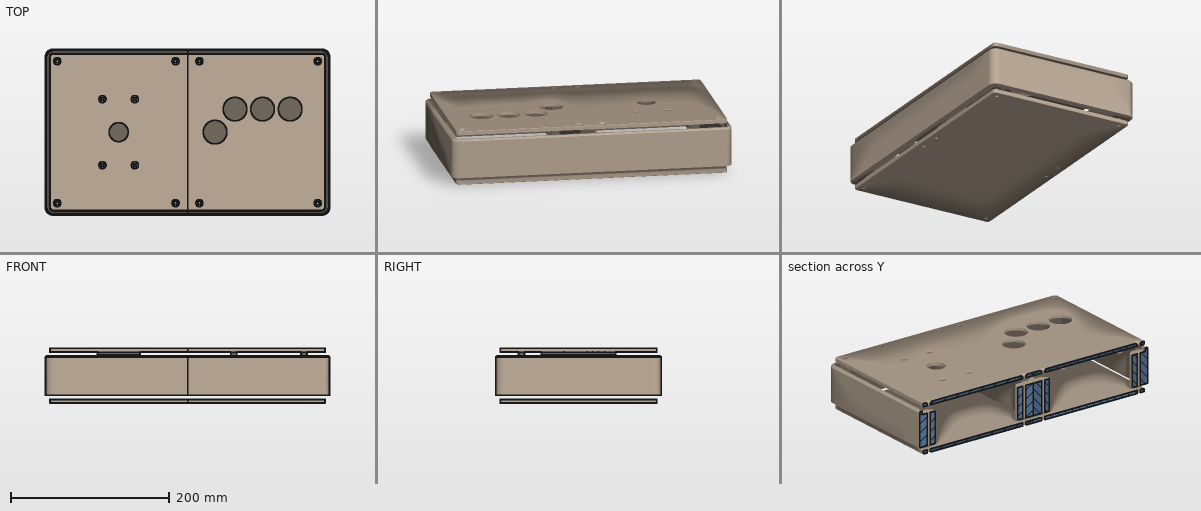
import cadquery as cq
LENGTH = 360.0
WIDTH = 210.0
HEIGHT = 70.0

LID_THICKNESS = 5.0
BORDER = 5.8
LID_CORNER_RADIUS = 4.5
LID_CHAMFER = 0.5
FRAME_HEIGHT = 50.0
WALL = 10.0
RIM_THICKNESS = 5.0
RIM_CHAMFER = 2.0
RECESS_DEPTH = LID_THICKNESS
MODULE_LENGTH = LENGTH / 2
LID_LENGTH = MODULE_LENGTH - BORDER
LID_WIDTH = WIDTH - 2 * BORDER
OUTER_RADIUS = LID_CORNER_RADIUS + BORDER

FRAME_BOTTOM = 10.0
FRAME_TOP = FRAME_BOTTOM + FRAME_HEIGHT
LID_BOTTOM = HEIGHT - LID_THICKNESS

SCREW_EDGE_DISTANCE = 15.0
SCREW_HOLE = 4.0
SCREW_HEAD = 9.0
HEAD_ANGLE = 90
BOSS_SIZE = 20.0
BOSS_CHAMFER = 5.0
BOSS_HOLE = 4.0

PAD_LENGTH = 54.0
PAD_WIDTH = 94.5
PAD_THICKNESS = 3.5
PAD_RADIUS = 3.0
PAD_SCREW_SPACING_X = 41.0
PAD_SCREW_SPACING_Y = 83.5
PAD_OPENING = 24.0
PAD_BORE = 44.0

BUTTON_HOLE = 30.0
BUTTON_RECESS = 36.0
BUTTON_PANEL = 3.0
BUTTON_ROW_Y = 29.0
BUTTON_ROW_START = 60.0
BUTTON_PITCH = 35.0
SINGLE_BUTTON_X = 35.0
POST_DIAMETER = 8.0
POST_LENGTH = 10.0
POST_Y = -72.0
POST_XS = (58.5, 147.5)

SEAM_TOLERANCE = 0.005

LEFT = -1
RIGHT = 1


def module_plate(side, length, width, thickness, radius, bottom):
    """Plate that ends at X = 0 and is rounded at its two outer corners only."""
    plate = cq.Workplane("XY").box(length, width, thickness, centered=(True, True, False))
    outer_edges = "|Z and >X" if side == RIGHT else "|Z and <X"
    return plate.edges(outer_edges).fillet(radius).translate((side * length / 2, 0, bottom))


def chamfer_outline(plate, face, size):
    """Chamfer the edges of one face, except the one at X = 0 where the modules meet."""
    outline = plate.faces(face).edges().filter(lambda edge: abs(edge.Center().x) > SEAM_TOLERANCE)
    return plate.newObject(outline.vals()).chamfer(size)


def screw_points(side):
    y = WIDTH / 2 - SCREW_EDGE_DISTANCE
    xs = (side * SCREW_EDGE_DISTANCE, side * (MODULE_LENGTH - SCREW_EDGE_DISTANCE))
    return [(x, sign * y) for x in xs for sign in (-1, 1)]


def drill(body, points, diameter):
    """Drill straight through the whole body along Z."""
    drills = cq.Workplane("XY").pushPoints(points).circle(diameter / 2).extrude(HEIGHT)
    return body.cut(drills)


def make_frame(side):
    outer = module_plate(side, MODULE_LENGTH, WIDTH, FRAME_HEIGHT, OUTER_RADIUS, FRAME_BOTTOM)
    outer = chamfer_outline(outer, ">Z", RIM_CHAMFER)

    cavity_length = MODULE_LENGTH - 2 * WALL
    cavity = (
        cq.Workplane("XY")
        .box(cavity_length, WIDTH - 2 * WALL, FRAME_HEIGHT, centered=(True, True, False))
        .translate((side * MODULE_LENGTH / 2, 0, FRAME_BOTTOM))
    )
    bosses = (
        cq.Workplane("XY", origin=(0, 0, FRAME_BOTTOM))
        .pushPoints(screw_points(side))
        .rect(BOSS_SIZE, BOSS_SIZE)
        .extrude(FRAME_HEIGHT)
        .edges("|Z")
        .chamfer(BOSS_CHAMFER)
    )
    frame = outer.cut(cavity.cut(bosses))

    recess_length = MODULE_LENGTH - RIM_THICKNESS
    recess_width = WIDTH - 2 * RIM_THICKNESS
    recess_radius = OUTER_RADIUS - RIM_THICKNESS
    recess_floor = FRAME_TOP - RECESS_DEPTH
    frame = frame.cut(
        module_plate(side, recess_length, recess_width, RECESS_DEPTH, recess_radius, recess_floor)
    )
    return drill(frame, screw_points(side), BOSS_HOLE)


def make_lid(side, bottom, outer_face):
    lid = module_plate(side, LID_LENGTH, LID_WIDTH, LID_THICKNESS, LID_CORNER_RADIUS, bottom)
    return chamfer_outline(lid, outer_face, LID_CHAMFER)


def make_bottom_lid(side):
    return drill(make_lid(side, 0, "<Z"), screw_points(side), SCREW_HOLE)


def countersink(lid, points):
    return (
        lid.faces(">Z").workplane(origin=(0, 0, HEIGHT)).pushPoints(points)
        .cskHole(SCREW_HOLE, SCREW_HEAD, HEAD_ANGLE)
    )


def make_left_top_lid():
    center = (-LID_LENGTH / 2, 0)
    pad = (
        cq.Workplane("XY", origin=(*center, LID_BOTTOM - PAD_THICKNESS))
        .rect(PAD_LENGTH, PAD_WIDTH)
        .extrude(PAD_THICKNESS)
        .edges("|Z")
        .fillet(PAD_RADIUS)
    )
    pad = drill(pad, [center], PAD_BORE)
    lid = drill(make_lid(LEFT, LID_BOTTOM, ">Z"), [center], PAD_OPENING).union(pad)
    pad_screws = [
        (center[0] + sx * PAD_SCREW_SPACING_X / 2, sy * PAD_SCREW_SPACING_Y / 2)
        for sx in (-1, 1)
        for sy in (-1, 1)
    ]
    return countersink(lid, screw_points(LEFT) + pad_screws)


def make_right_top_lid():
    row = [(BUTTON_ROW_START + i * BUTTON_PITCH, BUTTON_ROW_Y) for i in range(3)]
    buttons = [(SINGLE_BUTTON_X, 0)] + row
    lid = drill(make_lid(RIGHT, LID_BOTTOM, ">Z"), buttons, BUTTON_HOLE)
    recess_top = HEIGHT - BUTTON_PANEL
    for x, y in buttons:
        recess = cq.Workplane("XY").center(x, y).circle(BUTTON_RECESS / 2).extrude(recess_top)
        lid = lid.cut(recess)
    lid = countersink(lid, screw_points(RIGHT))
    posts = (
        cq.Workplane("XY", origin=(0, 0, LID_BOTTOM))
        .pushPoints([(x, POST_Y) for x in POST_XS])
        .circle(POST_DIAMETER / 2)
        .extrude(-POST_LENGTH)
    )
    return lid.union(posts)


frames = [make_frame(side) for side in (LEFT, RIGHT)]
bottom_lids = [make_bottom_lid(side) for side in (LEFT, RIGHT)]
left_top_lid = make_left_top_lid()
right_top_lid = make_right_top_lid()

bodies = [*frames, *bottom_lids, left_top_lid, right_top_lid]
result = cq.Compound.makeCompound([body.val() for body in bodies])